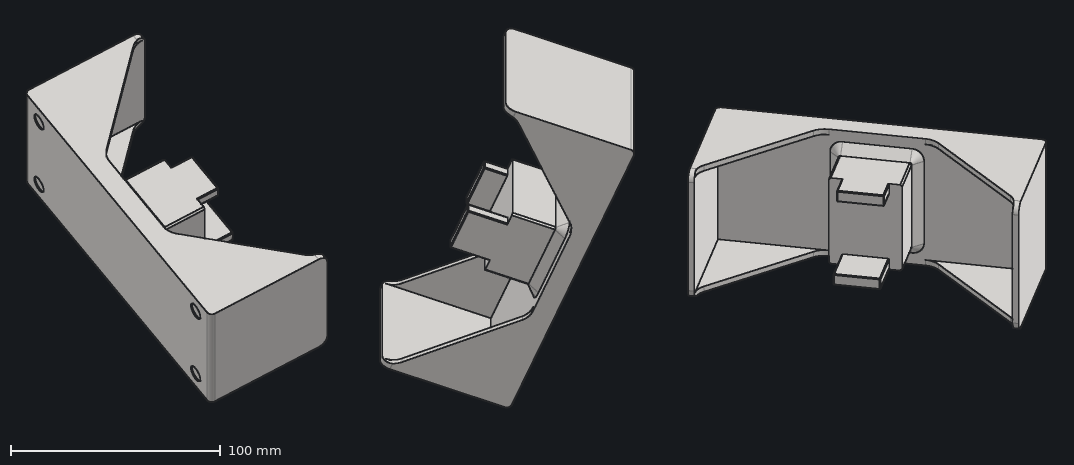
import cadquery as cq
LENGTH = 161.3
DEPTH = 67.0
HEIGHT = 69.0

WALL_THICKNESS = 3.0
PLATE_THICKNESS = 3.0

FLOOR_Y = 11.0
FLOOR_HALF_WIDTH = 27.6
NOTCH_RADIUS = 10.0

BACK_EDGE_RADIUS = 2.7
ARM_CORNER_RADIUS = 5.0

POST_WIDTH = 35.8
POST_HEIGHT = 46.8
POST_END_Y = 38.2
POST_EDGE_CHAMFER = 1.0
FLARE_SIZE = 5.0
FLARE_ANGLE = 45.0

TONGUE_WIDTH = 23.0
TONGUE_THICKNESS = 6.0
TONGUE_EDGE_CHAMFER = 0.5
UPPER_TONGUE_END_Y = 50.3
LOWER_TONGUE_END_Y = 58.7

RECESS_DIAMETER = 8.2
RECESS_DEPTH = 0.6
RECESS_SPACING_X = 136.1
RECESS_SPACING_Z = 49.0


def xz_plane(y):
    """Plane at the given Y whose normal points along +Y (its local x is -X)."""
    return cq.Workplane(cq.Plane(origin=(0, y, 0), xDir=(-1, 0, 0), normal=(0, 1, 0)))


def make_body():
    """Block with rounded outer edges, before it is hollowed."""
    block = cq.Workplane("XY").box(LENGTH, DEPTH, HEIGHT).translate((0, DEPTH / 2, 0))
    block = block.edges("|Z and <Y").fillet(BACK_EDGE_RADIUS)
    return block.edges("|X and >Y").fillet(ARM_CORNER_RADIUS)


def make_notch():
    """Opening with a flat floor, 45 degree flanks and rounded inner corners."""
    mouth_half_width = LENGTH / 2 - WALL_THICKNESS
    flank_top_y = FLOOR_Y + mouth_half_width - FLOOR_HALF_WIDTH
    notch = (
        cq.Workplane("XY", origin=(0, 0, -HEIGHT / 2))
        .moveTo(-FLOOR_HALF_WIDTH, FLOOR_Y)
        .lineTo(FLOOR_HALF_WIDTH, FLOOR_Y)
        .lineTo(mouth_half_width, flank_top_y)
        .lineTo(mouth_half_width, DEPTH)
        .lineTo(-mouth_half_width, DEPTH)
        .lineTo(-mouth_half_width, flank_top_y)
        .close()
        .extrude(HEIGHT)
    )
    return notch.edges("|Z").edges("not >Y").fillet(NOTCH_RADIUS)


def make_cavity():
    """Space between the side walls and the gusset plates, down to the floor."""
    cavity_depth = DEPTH - FLOOR_Y
    return cq.Workplane("XY", origin=(0, FLOOR_Y + cavity_depth / 2, 0)).box(
        LENGTH - 2 * WALL_THICKNESS, cavity_depth, HEIGHT - 2 * PLATE_THICKNESS
    )


def make_post():
    """Rectangular post with chamfered long edges and a foot that flares out to the floor."""
    post = xz_plane(FLOOR_Y).rect(POST_WIDTH, POST_HEIGHT).extrude(POST_END_Y - FLOOR_Y)
    post = post.edges("|Y").chamfer(POST_EDGE_CHAMFER)
    foot_outline = cq.Sketch().rect(POST_WIDTH + 2 * FLARE_SIZE, POST_HEIGHT + 2 * FLARE_SIZE)
    foot_outline = foot_outline.vertices().fillet(POST_EDGE_CHAMFER + FLARE_SIZE)
    foot = xz_plane(FLOOR_Y).placeSketch(foot_outline).extrude(FLARE_SIZE, taper=FLARE_ANGLE)
    return post.union(foot)


def make_tongue(side, end_y):
    """Flat tongue flush with the top (side = 1) or bottom (side = -1) of the post."""
    length = end_y - FLOOR_Y
    center_z = side * (POST_HEIGHT - TONGUE_THICKNESS) / 2
    tongue = cq.Workplane("XY").box(TONGUE_WIDTH, length, TONGUE_THICKNESS)
    tongue = tongue.edges("|Y or >Y").chamfer(TONGUE_EDGE_CHAMFER)
    return tongue.translate((0, FLOOR_Y + length / 2, center_z))


def make_recesses():
    """Four shallow round recesses near the corners of the back face."""
    return (
        xz_plane(0)
        .rarray(RECESS_SPACING_X, RECESS_SPACING_Z, 2, 2)
        .circle(RECESS_DIAMETER / 2)
        .extrude(RECESS_DEPTH)
    )


result = (
    make_body()
    .cut(make_notch())
    .cut(make_cavity())
    .union(make_post())
    .union(make_tongue(1, UPPER_TONGUE_END_Y))
    .union(make_tongue(-1, LOWER_TONGUE_END_Y))
    .cut(make_recesses())
)